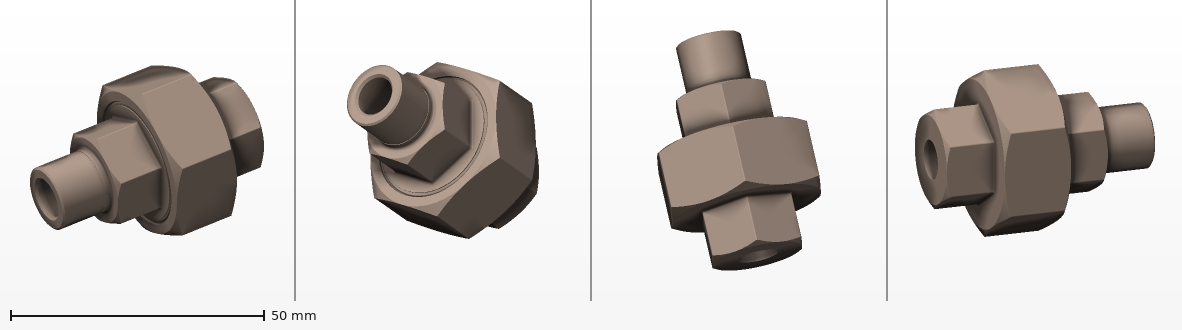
import cadquery as cq
import math

TOTAL_LENGTH = 45.0
PIPE_LENGTH = 11.0
NUT_START = 21.0
NUT_LENGTH = 14.0
NUT_END = NUT_START + NUT_LENGTH

NUT_ACROSS_FLATS = 30.0
BODY_ACROSS_FLATS = 18.0
CORNER_RADIUS = 0.3
HEX_CHAMFER_ANGLE = 30.0

RECESS_DIAMETER = 26.0
COLLAR_DIAMETER = 25.4
COLLAR_EDGE_RADIUS = 0.3
PAD_DIAMETER = 24.0
PAD_DEPTH = 0.1
COLLAR_DEPTH = 0.3
RECESS_DEPTH = 0.6

FRONT_FOOT_RADIUS = 0.5
REAR_FOOT_RADIUS = 0.4

PIPE_DIAMETER = 13.16
PIPE_TIP_DIAMETER = 12.4
PIPE_CHAMFER_LENGTH = 0.3
SHOULDER_DIAMETER = 13.36
SHOULDER_LENGTH = 1.35
SHOULDER_FILLET = 0.5

BORE_DIAMETER = 8.0
BORE_CHAMFER = 0.5

TOLERANCE = 0.01


def disk(diameter, start, end):
    """Cylinder on the Y axis."""
    return cq.Workplane("XZ", origin=(0, start, 0)).circle(diameter / 2).extrude(start - end)


def revolve_about_y(profile):
    """Ring or shaft from a closed (radius, Y) outline."""
    return profile.close().revolve(360, (0, 0, 0), (0, 1, 0))


def hex_prism(across_flats, start, end):
    """Hexagonal prism along Y with flats facing +X and -X."""
    corner_radius = across_flats / math.sqrt(3)
    corners = []
    for index in range(6):
        angle = math.radians(90 + 60 * index)
        corners.append((corner_radius * math.cos(angle), corner_radius * math.sin(angle)))
    return cq.Workplane("XZ", origin=(0, start, 0)).polyline(corners).close().extrude(start - end)


def trim_corners(part, across_flats, face_y, inward):
    """Chamfer the corners of a hexagon with a cone that starts at the circle inscribed in its face.

    inward is +1 or -1, the direction along Y from the face into the material.
    """
    face_radius = across_flats / 2
    outer_radius = across_flats / math.sqrt(3)
    depth = (outer_radius - face_radius) * math.tan(math.radians(HEX_CHAMFER_ANGLE))
    ring = revolve_about_y(
        cq.Workplane("XY")
        .moveTo(face_radius, face_y)
        .lineTo(outer_radius, face_y)
        .lineTo(outer_radius, face_y + inward * depth)
    )
    return part.cut(ring)


def make_nut():
    nut = hex_prism(NUT_ACROSS_FLATS, NUT_START, NUT_END).edges("|Y").fillet(CORNER_RADIUS)
    nut = trim_corners(nut, NUT_ACROSS_FLATS, NUT_START, 1)
    nut = trim_corners(nut, NUT_ACROSS_FLATS, NUT_END, -1)
    return nut.cut(disk(RECESS_DIAMETER, NUT_START, NUT_START + RECESS_DEPTH))


def make_collar():
    """Round collar with a slightly raised pad that carries the front hexagon."""
    collar = disk(COLLAR_DIAMETER, NUT_START + COLLAR_DEPTH, NUT_END)
    collar = collar.faces("<Y").edges().fillet(COLLAR_EDGE_RADIUS)
    return collar.union(disk(PAD_DIAMETER, NUT_START + PAD_DEPTH, NUT_END))


def zone_between(low_y, high_y):
    """Selector for whatever of a body hexagon lies between two heights on Y."""
    reach = BODY_ACROSS_FLATS / math.sqrt(3) + TOLERANCE
    return cq.selectors.BoxSelector(
        (-reach, low_y - TOLERANCE, -reach),
        (reach, high_y + TOLERANCE, reach),
    )


def add_body_hex(part, foot_y, end_y, foot_radius):
    """Add a hexagon standing on the face at foot_y, filleted at its foot and along its corners."""
    part = part.union(hex_prism(BODY_ACROSS_FLATS, foot_y, end_y))
    foot_edges = part.edges(zone_between(foot_y, foot_y)).edges("%LINE")
    part = foot_edges.fillet(foot_radius)
    corner_edges = part.edges(zone_between(min(foot_y, end_y), max(foot_y, end_y))).edges("|Y")
    part = corner_edges.fillet(CORNER_RADIUS)
    inward = math.copysign(1, foot_y - end_y)
    return trim_corners(part, BODY_ACROSS_FLATS, end_y, inward)


def make_pipe():
    """Pipe end with a chamfered tip and a shoulder that flares into the front hexagon."""
    pipe_radius = PIPE_DIAMETER / 2
    shoulder_radius = SHOULDER_DIAMETER / 2
    shoulder_start = PIPE_LENGTH - SHOULDER_LENGTH
    return revolve_about_y(
        cq.Workplane("XY")
        .lineTo(PIPE_TIP_DIAMETER / 2, 0)
        .lineTo(pipe_radius, PIPE_CHAMFER_LENGTH)
        .lineTo(pipe_radius, shoulder_start)
        .lineTo(shoulder_radius, shoulder_start)
        .lineTo(shoulder_radius, PIPE_LENGTH - SHOULDER_FILLET)
        .radiusArc((shoulder_radius + SHOULDER_FILLET, PIPE_LENGTH), SHOULDER_FILLET)
        .lineTo(0, PIPE_LENGTH)
    )


def cut_bore(part):
    """Through bore with a chamfered mouth at the pipe end."""
    bore_radius = BORE_DIAMETER / 2
    bore = revolve_about_y(
        cq.Workplane("XY")
        .lineTo(bore_radius + BORE_CHAMFER, 0)
        .lineTo(bore_radius, BORE_CHAMFER)
        .lineTo(bore_radius, TOTAL_LENGTH)
        .lineTo(0, TOTAL_LENGTH)
    )
    return part.cut(bore)


body = make_nut().union(make_collar())
body = add_body_hex(body, NUT_START + PAD_DEPTH, PIPE_LENGTH, FRONT_FOOT_RADIUS)
body = add_body_hex(body, NUT_END, TOTAL_LENGTH, REAR_FOOT_RADIUS)
body = body.union(make_pipe())
result = cut_bore(body)